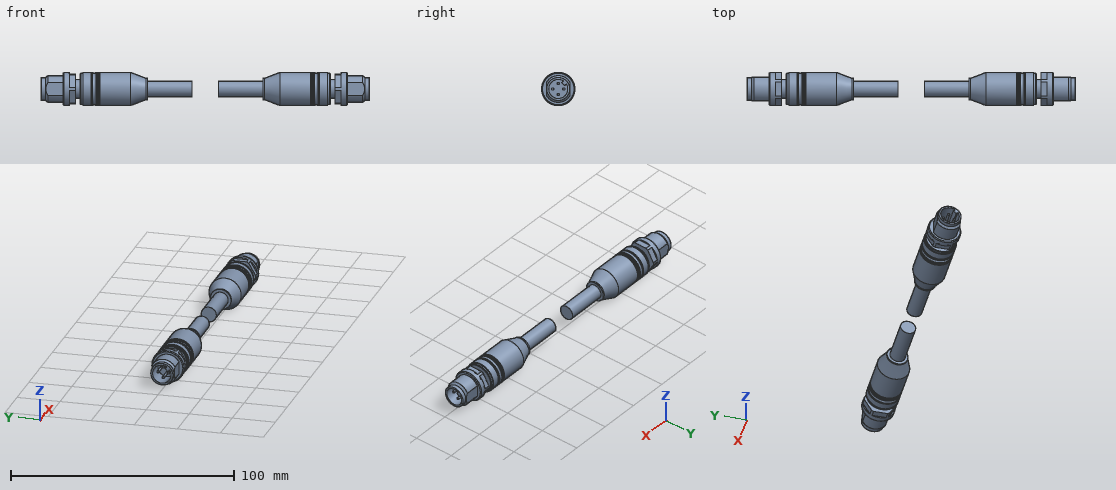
import cadquery as cq
import math

OVERALL_LENGTH = 147.0
PLUG_LENGTH = 67.6

TIP_END = 1.9
THREAD_START = 3.0
COLLAR_START = 9.8
NUT_START = 12.6
NUT_END = 15.5
GRIP_START = 17.5
SHOULDER_END = 18.7
TAPER_START = 40.0
LIP_START = 46.9
LIP_END = 47.6

TIP_RADIUS = 5.1
THREAD_RADIUS = 6.0
GRIP_RADIUS = 7.5
NECK_RADIUS = 4.3
SHOULDER_RADIUS = 7.0
LIP_RADIUS = 4.9
CABLE_RADIUS = 3.5

FLAT_DISTANCE = 5.3
COLLAR_CHAMFER = 0.5
NUT_SIDES = 6
NUT_ACROSS_FLATS = 13.5
SHOULDER_CHAMFER = 0.3
ROUND_GROOVE_POSITION = 23.8
ROUND_GROOVE_WIDTH = 1.5
ROUND_GROOVE_DEPTH = 0.5
FINE_GROOVE_POSITIONS = (22.5, 25.1, 26.2)
FINE_GROOVE_WIDTH = 0.5
FINE_GROOVE_DEPTH = 0.22

BORE_RADIUS = 4.3
BORE_DEPTH = 8.8
PIN_COUNT = 4
PIN_RADIUS = 0.51
PIN_CIRCLE_RADIUS = 2.5
PIN_RECESS = 2.5
KEY_WIDTH = 1.9
KEY_INNER_RADIUS = 3.1
KEY_ANGLE = 45.0


def cylinder(radius, start, end):
    """Cylinder along X between two positions."""
    return cq.Workplane("YZ", origin=(start, 0, 0)).circle(radius).extrude(end - start)


def turned_body():
    """Everything round on the plug, from the tip to the cut end of the cable."""
    return (
        cq.Workplane("XZ")
        .moveTo(0, 0)
        .lineTo(0, TIP_RADIUS)
        .lineTo(TIP_END, TIP_RADIUS)
        .lineTo(THREAD_START, THREAD_RADIUS)
        .lineTo(COLLAR_START, THREAD_RADIUS)
        .lineTo(COLLAR_START, GRIP_RADIUS - COLLAR_CHAMFER)
        .lineTo(COLLAR_START + COLLAR_CHAMFER, GRIP_RADIUS)
        .lineTo(NUT_END, GRIP_RADIUS)
        .lineTo(NUT_END, NECK_RADIUS)
        .lineTo(GRIP_START, NECK_RADIUS)
        .lineTo(GRIP_START, SHOULDER_RADIUS - SHOULDER_CHAMFER)
        .lineTo(GRIP_START + SHOULDER_CHAMFER, SHOULDER_RADIUS)
        .lineTo(SHOULDER_END, SHOULDER_RADIUS)
        .lineTo(SHOULDER_END, GRIP_RADIUS)
        .lineTo(TAPER_START, GRIP_RADIUS)
        .lineTo(LIP_START, LIP_RADIUS)
        .lineTo(LIP_END, LIP_RADIUS)
        .lineTo(LIP_END, CABLE_RADIUS)
        .lineTo(PLUG_LENGTH, CABLE_RADIUS)
        .lineTo(PLUG_LENGTH, 0)
        .close()
        .revolve(360, (0, 0, 0), (1, 0, 0))
    )


def thread_flats():
    """Material outside the two flats on the threaded length, facing -Y and +Y."""
    cutter = cq.Workplane("XY")
    for side in (-1, 1):
        slab = cq.Workplane("XY").box(COLLAR_START, THREAD_RADIUS, 2 * THREAD_RADIUS)
        slab = slab.translate((COLLAR_START / 2, side * (FLAT_DISTANCE + THREAD_RADIUS / 2), 0))
        cutter = cutter.add(slab)
    return cutter.combine()


def nut_flats():
    """Material outside the nut's hexagon, which has flats facing +Z and -Z and rounded corners."""
    corner_diameter = NUT_ACROSS_FLATS / math.cos(math.pi / NUT_SIDES)
    hexagon = (
        cq.Workplane("YZ", origin=(NUT_START, 0, 0))
        .polygon(NUT_SIDES, corner_diameter)
        .extrude(NUT_END - NUT_START)
    )
    return cylinder(corner_diameter, NUT_START, NUT_END).cut(hexagon)


def round_groove():
    """Ring with the cross-section of the rounded finger groove."""
    half_width = ROUND_GROOVE_WIDTH / 2
    return (
        cq.Workplane("XZ")
        .moveTo(ROUND_GROOVE_POSITION - half_width, GRIP_RADIUS)
        .threePointArc(
            (ROUND_GROOVE_POSITION, GRIP_RADIUS - ROUND_GROOVE_DEPTH),
            (ROUND_GROOVE_POSITION + half_width, GRIP_RADIUS),
        )
        .close()
        .revolve(360, (0, 0, 0), (1, 0, 0))
    )


def fine_groove(position):
    """Narrow square ring groove centred at a position on the grip."""
    start = position - FINE_GROOVE_WIDTH / 2
    end = position + FINE_GROOVE_WIDTH / 2
    outer = cylinder(GRIP_RADIUS + FINE_GROOVE_DEPTH, start, end)
    return outer.cut(cylinder(GRIP_RADIUS - FINE_GROOVE_DEPTH, start, end))


def contact_pins():
    """Four contacts standing on the bore floor, set back from the tip."""
    return (
        cq.Workplane("YZ", origin=(PIN_RECESS, 0, 0))
        .polarArray(PIN_CIRCLE_RADIUS, 0, 360, PIN_COUNT)
        .circle(PIN_RADIUS)
        .extrude(BORE_DEPTH - PIN_RECESS)
    )


def coding_key():
    """Rib along the bore wall, halfway between the -Y and +Z contacts."""
    height = TIP_RADIUS - KEY_INNER_RADIUS
    rib = cq.Workplane("XY").box(BORE_DEPTH, KEY_WIDTH, height)
    rib = rib.translate((BORE_DEPTH / 2, 0, KEY_INNER_RADIUS + height / 2))
    rib = rib.rotate((0, 0, 0), (1, 0, 0), KEY_ANGLE)
    return rib.intersect(cylinder(BORE_RADIUS, 0, BORE_DEPTH))


def cable_plug():
    """One plug with its cable, tip at the origin and cable along +X."""
    plug = turned_body().cut(thread_flats()).cut(nut_flats()).cut(round_groove())
    for position in FINE_GROOVE_POSITIONS:
        plug = plug.cut(fine_groove(position))
    bore = cylinder(BORE_RADIUS, 0, BORE_DEPTH).cut(contact_pins()).cut(coding_key())
    return plug.cut(bore)


plug = cable_plug()
plugs = cq.Workplane("XY")
for turn in (0, 180):
    placed = plug.translate((-OVERALL_LENGTH / 2, 0, 0)).rotate((0, 0, 0), (0, 0, 1), turn)
    plugs = plugs.add(placed)

result = cq.Compound.makeCompound([*plugs.vals()])